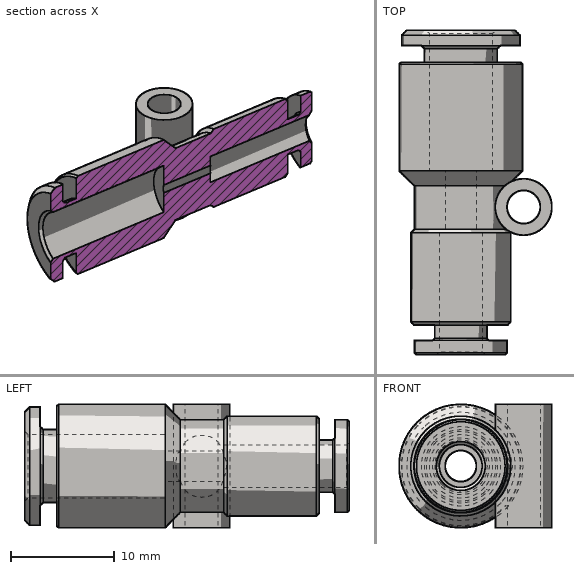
import cadquery as cq

small_collar_end = 1.4
small_body_start = 2.9
waist_start = 12.2
waist_end = 16.4
large_body_start = 17.85
large_body_end = 28.4
large_collar_start = 30.0
total_length = 31.5

small_collar_dia = 9.0
small_neck_dia = 5.1
small_body_dia = 9.7
waist_dia = 9.0
large_body_dia = 12.0
large_neck_dia = 7.1
large_collar_dia = 11.5

small_collar_chamfer = 0.2
small_body_chamfer = 0.3
large_body_chamfer = 0.2
large_collar_chamfer = 0.5
small_neck_flare = 0.2
large_neck_flare = 0.3
bore_lead_in = 0.3

small_socket_dia = 4.15
large_socket_dia = 6.15
passage_dia = 3.0
small_socket_depth = waist_start
large_socket_depth = total_length - large_body_start

eye_outer_dia = 5.5
eye_hole_dia = 3.2
eye_x = 6.1
eye_y = 14.35
eye_height = large_body_dia


def revolve_about_y(points):
    """Revolve a closed (radius, y) outline about the Y axis."""
    return cq.Workplane("XY").polyline(points).close().revolve(360, (0, 0, 0), (0, 1, 0))


def make_body():
    small_collar_r = small_collar_dia / 2
    small_neck_r = small_neck_dia / 2
    small_body_r = small_body_dia / 2
    waist_r = waist_dia / 2
    large_body_r = large_body_dia / 2
    large_neck_r = large_neck_dia / 2
    large_collar_r = large_collar_dia / 2
    waist_step = small_body_r - waist_r
    return revolve_about_y([
        (0, 0),
        (small_collar_r - small_collar_chamfer, 0),
        (small_collar_r, small_collar_chamfer),
        (small_collar_r, small_collar_end),
        (small_neck_r + small_neck_flare, small_collar_end),
        (small_neck_r, small_collar_end + small_neck_flare),
        (small_neck_r, small_body_start),
        (small_body_r - small_body_chamfer, small_body_start),
        (small_body_r, small_body_start + small_body_chamfer),
        (small_body_r, waist_start - waist_step),
        (waist_r, waist_start),
        (waist_r, waist_end),
        (large_body_r, large_body_start),
        (large_body_r, large_body_end - large_body_chamfer),
        (large_body_r - large_body_chamfer, large_body_end),
        (large_neck_r, large_body_end),
        (large_neck_r, large_collar_start - large_neck_flare),
        (large_neck_r + large_neck_flare, large_collar_start),
        (large_collar_r, large_collar_start),
        (large_collar_r, total_length - large_collar_chamfer),
        (large_collar_r - large_collar_chamfer, total_length),
        (0, total_length),
    ])


def make_passage():
    small_r = small_socket_dia / 2
    large_r = large_socket_dia / 2
    passage_r = passage_dia / 2
    large_socket_floor = total_length - large_socket_depth
    return revolve_about_y([
        (0, 0),
        (small_r + bore_lead_in, 0),
        (small_r, bore_lead_in),
        (small_r, small_socket_depth),
        (passage_r, small_socket_depth),
        (passage_r, large_socket_floor),
        (large_r, large_socket_floor),
        (large_r, total_length - bore_lead_in),
        (large_r + bore_lead_in, total_length),
        (0, total_length),
    ])


def eye_cylinder(diameter):
    """Vertical cylinder on the mounting-eye axis, centred on Z = 0."""
    return (
        cq.Workplane("XY", origin=(0, 0, -eye_height / 2))
        .center(eye_x, eye_y)
        .circle(diameter / 2)
        .extrude(eye_height)
    )


result = (
    make_body()
    .union(eye_cylinder(eye_outer_dia))
    .cut(eye_cylinder(eye_hole_dia))
    .cut(make_passage())
)